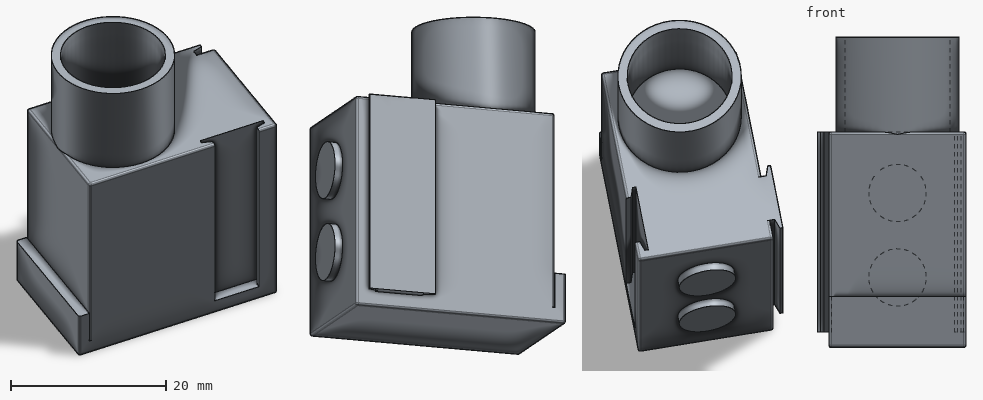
import cadquery as cq

overall_width = 19.15
overall_depth = 29.8
overall_height = 40.0

rail_height = 1.5
pin_length = 1.05
foot_depth = 1.5
foot_height = 6.55
body_height = 27.8
edge_radius = 0.3
body_width = overall_width - rail_height
body_depth = overall_depth - pin_length - foot_depth
body_front = -body_depth / 2
body_back = body_depth / 2
body_left = -body_width / 2
body_right = body_width / 2
foot_front = body_front - foot_depth

tube_diameter = 15.9
tube_bore = 13.5
tube_center_y = body_front + tube_diameter / 2

pin_diameter = 7.4
pin_heights = (9.05, 19.9)

dovetail_bottom = 2.0
dovetail_center_y = body_back - 5.85
rail_head_width = 9.0
rail_neck_width = 6.3
head_lip = 0.4
head_thickness = 0.85
slot_clearance = 0.05


def block(x_min, x_max, y_min, y_max, z_min, z_max):
    """Axis-aligned box between two opposite corners."""
    size = (x_max - x_min, y_max - y_min, z_max - z_min)
    return cq.Workplane("XY").box(*size, centered=False).translate((x_min, y_min, z_min))


def dovetail(face_x, root_x, clearance):
    """Upright dovetail bar: wide head at face_x, narrow neck reaching right to root_x."""
    head_half = rail_head_width / 2 + clearance
    neck_half = rail_neck_width / 2 + clearance
    lip_x = face_x + head_lip + clearance
    neck_x = face_x + head_thickness + clearance
    half_outline = [
        (face_x, head_half),
        (lip_x, head_half),
        (neck_x, neck_half),
        (root_x, neck_half),
    ]
    mirrored_half = [(x, -y) for x, y in reversed(half_outline)]
    return (
        cq.Workplane("XY", origin=(0, dovetail_center_y, dovetail_bottom))
        .polyline(half_outline + mirrored_half)
        .close()
        .extrude(body_height - dovetail_bottom)
    )


def make_body():
    """Upper block above the dovetail floor, joined to a longer base and the foot."""
    upper = block(body_left, body_right, body_front, body_back, dovetail_bottom, body_height)
    upper = upper.edges("|Z or >Z").fillet(edge_radius)

    base = block(body_left, body_right, foot_front, body_back, 0, dovetail_bottom)
    base = base.edges("|Z or <Z").fillet(edge_radius)

    foot = block(body_left, body_right, foot_front, body_front, dovetail_bottom, foot_height)
    foot = foot.edges("|Z and <Y").fillet(edge_radius)
    return upper.union(base).union(foot)


def make_tube():
    """Tube rooted in the rounded front top edge, whose bore ends at the body top."""
    root_z = body_height - edge_radius
    outer = (
        cq.Workplane("XY", origin=(0, tube_center_y, root_z))
        .circle(tube_diameter / 2)
        .extrude(overall_height - root_z)
    )
    bore = (
        cq.Workplane("XY", origin=(0, tube_center_y, body_height))
        .circle(tube_bore / 2)
        .extrude(overall_height - body_height)
    )
    return outer.cut(bore)


def make_pin(height):
    """Round pin standing on the back face."""
    return (
        cq.Workplane("XZ", origin=(0, body_back + pin_length, height))
        .circle(pin_diameter / 2)
        .extrude(pin_length)
    )


rail = dovetail(body_left - rail_height, body_left + edge_radius, 0)
slot = dovetail(body_right - rail_height - slot_clearance, body_right, slot_clearance)

result = make_body().union(rail).cut(slot).union(make_tube())
for pin_height in pin_heights:
    result = result.union(make_pin(pin_height))